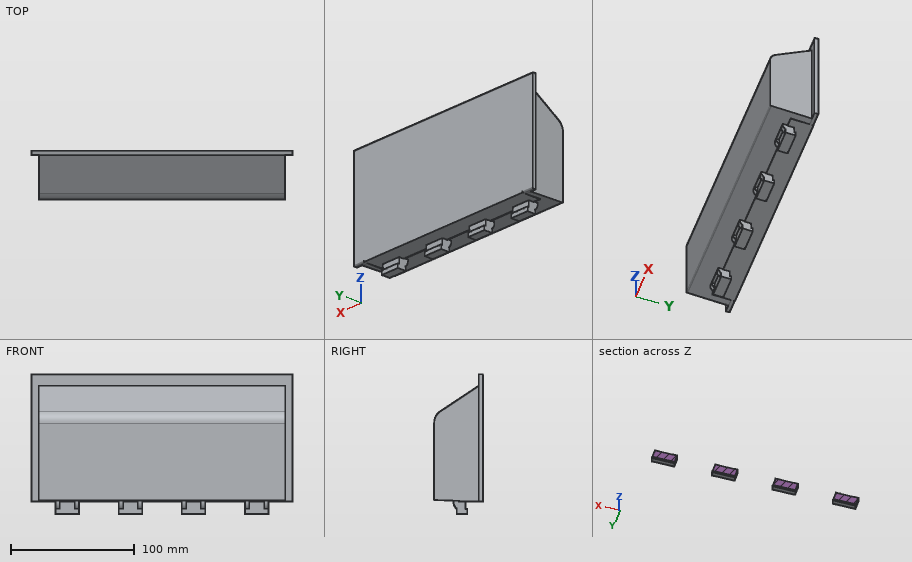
import cadquery as cq
import math

FLANGE_WIDTH = 211.0
FLANGE_HEIGHT = 103.0
FLANGE_THICKNESS = 3.6
FLANGE_EDGE_RADIUS = 1.0

TOTAL_DEPTH = 39.6
SIDE_MARGIN = 6.0
ROOF_MARGIN = 9.5
ROOF_ANGLE = 33.5
ROOF_RADIUS = 11.5
FLOOR_RISE = 1.2
FLOOR_RADIUS = 0.8

CLIP_COUNT = 4
CLIP_PITCH = 51.0
CLIP_WIDTH = 19.2
CLIP_DROP = 10.1
NECK_BACK = 14.0
NECK_FRONT = 21.4
FOOT_BACK = 12.7
FOOT_HEIGHT = 4.2
BROW_DEPTH = 2.5
BROW_AXIS_Z = -0.2
NOTCH_MARGIN = 3.7
CLIP_ROOT = 2.0

PAD_WIDTH = 187.0
PAD_DEPTH = 19.7
PAD_HEIGHT = 2.0

HOUSING_WIDTH = FLANGE_WIDTH - 2 * SIDE_MARGIN


def extrude_along_x(profile, center_x, width):
    """Extrude a closed (Y, Z) profile symmetrically about center_x."""
    return profile.extrude(width / 2, both=True).translate((center_x, 0, 0))


def make_flange():
    plate = cq.Workplane("XY").box(
        FLANGE_WIDTH, FLANGE_THICKNESS, FLANGE_HEIGHT, centered=(True, False, False)
    ).translate((0, -FLANGE_THICKNESS, 0))
    plate = plate.faces(">Y").edges("|X").fillet(FLANGE_EDGE_RADIUS)
    return plate.faces("<Y").edges(">Z").fillet(FLANGE_EDGE_RADIUS)


def make_housing():
    roof_back_z = FLANGE_HEIGHT - ROOF_MARGIN
    run = TOTAL_DEPTH - FLANGE_THICKNESS
    roof_front_z = roof_back_z - run * math.tan(math.radians(ROOF_ANGLE))
    profile = cq.Workplane("YZ").polyline([
        (-FLANGE_THICKNESS, 0),
        (-FLANGE_THICKNESS, roof_back_z),
        (-TOTAL_DEPTH, roof_front_z),
        (-TOTAL_DEPTH, FLOOR_RISE),
    ]).close()
    body = extrude_along_x(profile, 0, HOUSING_WIDTH)
    body = body.faces("<Y").edges(">Z").fillet(ROOF_RADIUS)
    return body.faces("<Y").edges("<Z").fillet(FLOOR_RADIUS)


def make_clip(center_x):
    foot_top = FOOT_HEIGHT - CLIP_DROP
    hook = cq.Workplane("YZ").polyline([
        (-NECK_BACK, CLIP_ROOT),
        (-NECK_BACK, foot_top),
        (-FOOT_BACK, foot_top),
        (-FOOT_BACK, -CLIP_DROP),
        (-NECK_FRONT, -CLIP_DROP),
        (-NECK_FRONT, CLIP_ROOT),
    ]).close()
    clip = extrude_along_x(hook, center_x, CLIP_WIDTH)

    brow_front = NECK_FRONT + BROW_DEPTH
    brow_drop = BROW_AXIS_Z - foot_top
    brow_radius = (BROW_DEPTH**2 + brow_drop**2) / (2 * BROW_DEPTH)
    brow_axis_y = brow_radius - brow_front
    foot_angle = math.asin(brow_drop / brow_radius)
    root_angle = math.asin((CLIP_ROOT - BROW_AXIS_Z) / brow_radius)

    def brow_point(angle_below_axis):
        return (
            brow_axis_y - brow_radius * math.cos(angle_below_axis),
            BROW_AXIS_Z - brow_radius * math.sin(angle_below_axis),
        )

    brow_profile = (
        cq.Workplane("YZ")
        .moveTo(-NECK_FRONT, CLIP_ROOT)
        .lineTo(*brow_point(-root_angle))
        .threePointArc(brow_point(0), brow_point(foot_angle))
        .close()
    )
    brow = extrude_along_x(brow_profile, center_x, CLIP_WIDTH)
    notch = cq.Workplane("XY").box(
        CLIP_WIDTH - 2 * NOTCH_MARGIN, BROW_DEPTH, CLIP_DROP, centered=(True, False, False)
    ).translate((center_x, -brow_front, -CLIP_DROP))
    return clip.union(brow.cut(notch))


def make_pad():
    return cq.Workplane("XY").box(
        PAD_WIDTH, PAD_DEPTH, PAD_HEIGHT, centered=(True, False, False)
    ).translate((0, -PAD_DEPTH, 0))


result = make_flange().union(make_housing()).union(make_pad())
for index in range(CLIP_COUNT):
    clip_x = (index - (CLIP_COUNT - 1) / 2) * CLIP_PITCH
    result = result.union(make_clip(clip_x))